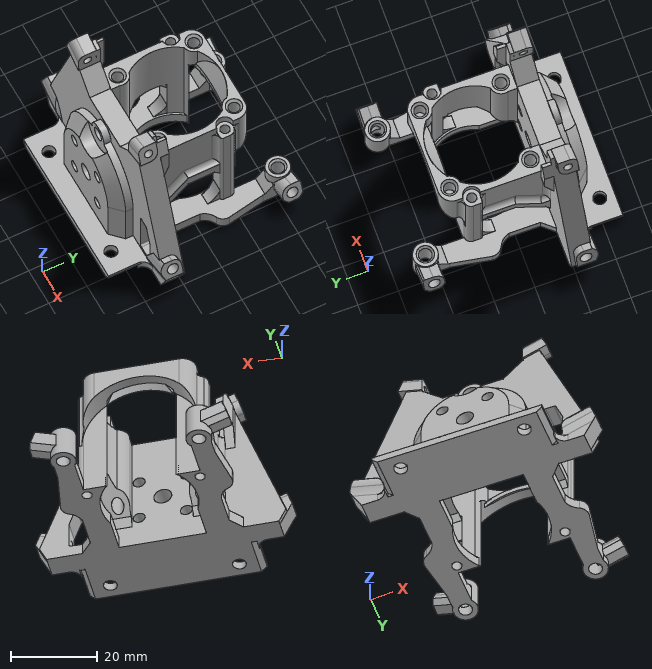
import cadquery as cq
import math

EPS = 0.1
WIDE = 36.7
HIGH = 48.95

PLATE_T = 5.45
EDGE_ANGLE = 20.0
NOTCH_Z = 32.0
NOTCH_HALF = 7.5
EAR_INNER_X = 12.5
EAR_REAR_TOP = 43.2
EAR_REAR_INNER_TOP = 42.3
SHOULDER_Z = 3.6
SHOULDER_HALF = 29.35
FOOT_HALF = 27.65

RIB_REAR = 7.7
RIB_BOTTOM = 25.7
RIB_TAPER_Z = 31.55
RIB_STEP_Z = 36.95
RIB_TOP = 41.2

FLANGE_FRONT = -10.2
FLANGE_HALF = 21.1
FLANGE_T = 2.2
FLANGE_CHAMFER = 1.35
FLANGE_HOLE_D = 3.2
FLANGE_HOLE_X = 15.35
FLANGE_HOLE_Y = -6.55
FLANGE_CORNER_R = 2.6

AXIS_Z = 14.0
PAD_R = 13.95
PAD_STEP = 1.95
PAD_FRONT = 5.0
CENTRE_HOLE_D = 4.2
SIDE_HOLE_D = 2.8
SIDE_HOLE_OFFSET = 5.6
PIN_Z = 28.15
PIN_BOSS_D = 5.95
PIN_BOSS_H = 1.85
PIN_HOLE_D = 3.4
PIN_HOLE_DEPTH = 5.5
PIN_RELIEF_R = 4.9

WINDOW_LEFT = 17.55
WINDOW_RIGHT = 22.35
WINDOW_TOP_RIGHT = 20.5
WINDOW_BOTTOM = 3.0
WINDOW_SHOULDER = 9.9
WINDOW_TOP = 15.05
WINDOW_R = 0.5
WINDOW_DEPTH = 9.2

HOUSING_TOP = 31.8
HOUSING_HALF = 13.45
HOUSING_REAR = 31.3
HOUSING_CORNER_R = 3.35
BORE_Y = 18.55
BORE_R = 11.9
RIM_BORE_R = 11.45
MOUNT_OFFSET = 10.0
MOUNT_POINTS = [
    (sx * MOUNT_OFFSET, BORE_Y + sy * MOUNT_OFFSET) for sx in (-1, 1) for sy in (-1, 1)
]
MOUNT_BOSS_R = 2.8
MOUNT_HOLE_D = 2.8
MOUNT_SINK_D = 4.05
MOUNT_DEPTH = 6.1
FRONT_GAP_HALF = 7.3
ARCH_R = 14.2
LIP_Y = 27.65
LIP_EDGE_R = 14.45
LIP_TOP_R = 17.8
LIP_DEPTH = 3.0
LIP_INNER_R = 13.0
LIP_BAND = 1.45

RIM_HALF = 14.9
RIM_BOTTOM = 15.6
RIM_TOP = 18.2
RIM_KNEE_Y = 13.95
RIM_END_Y = 6.55
RIM_END_Z = 5.6
RIM_SLAB_TOP = 29.4
PANEL_CORNER = (7.6, 11.8)
WALL_FILLET_R = 1.4

POST_X = 13.45
POST_Y = 24.3
POST_R = 2.0
POST_HOLE_D = 2.3
POST_SEAT_Z = 29.8
POST_SEAT_D = 4.2
POST_REAR_R = 1.65
POST_FRONT_R = 0.55
POST_FOOT_Y = 3.3
POST_FOOT_Z = 3.55
POST_FOOT_R = 5.5
POST_BLEND_R = 1.35

BASE_T = 3.05
BASE_HALF = 16.5
BASE_FLARE_HALF = 19.3
BASE_FLARE_Y = 8.5
CURVE_START_Y = 16.2
CURVE_HOLLOW_MID = (-17.4, 17.85)
CURVE_TURN = (-19.0, 19.1)
CURVE_BULGE_MID = (-20.2, 20.3)
CURVE_END = (-20.45, 21.8)
ARM_INNER = 13.9
ARM_END_HALF = 18.7
ARM_END_Y = 31.5
RAMP_Y = 32.0
RAMP_H = 2.2
BASE_OPEN_HALF = 10.4

BOSS_X = 16.15
BOSS_Y = 36.7
BOSS_D = 6.0
BOSS_H = 8.0
BOSS_HOLE_D = 3.2
BOSS_SINK_D = 4.2

LUG_H = 4.9
LUG_LENGTH = 12.25
FOOT_W = 3.05
LUG_HOLE_D = 2.8
EAR_HOLE_D = 2.1
LUG_HOLE_DEPTH = 7.35
LUG_HOLE_Y = 2.1
REAR_LUG_HOLE_Y = 36.95
FRONT_LUG_CORNER = (-30.6, 6.2)
EAR_CORNER = (-18.55, 39.4)
REAR_LUG_CORNER = (-23.8, 3.85)
LUG_RUNOUT_MID = (-22.95, 7.05)
LUG_RUNOUT_TOP = (-26.6, 11.6)
LUG_REAR = 4.4
LUG_FRONT = -1.0
EAR_FRONT = -0.35


def box(x0, x1, y0, y1, z0, z1):
    return cq.Workplane("XY").box(x1 - x0, y1 - y0, z1 - z0, centered=False).translate((x0, y0, z0))


def upright(radius, x, y, z0, z1):
    """Cylinder along Z."""
    return cq.Workplane("XY", origin=(x, y, z0)).circle(radius).extrude(z1 - z0)


def along_y(radius, x, z, y0, y1):
    """Cylinder along Y."""
    return cq.Workplane("XZ", origin=(x, y0, z)).circle(radius).extrude(y0 - y1)


def front_sketch(y=0.0):
    """XZ sketch plane whose extrusions run toward -Y."""
    return cq.Workplane("XZ", origin=(0, y, 0))


def side_profile(points, x0, x1):
    """Extrude a (y, z) outline from x0 to x1."""
    return cq.Workplane("YZ", origin=(x0, 0, 0)).polyline(points).close().extrude(x1 - x0)


def both(solid):
    return solid.union(solid.mirror("YZ"))


def edge_x(z):
    """X of the sloping plate edge on the -X side at height z."""
    return -SHOULDER_HALF + (z - SHOULDER_Z) * math.tan(math.radians(EDGE_ANGLE))


def plate():
    ear_z = NOTCH_Z + EAR_INNER_X - NOTCH_HALF
    half = [
        (0, 0),
        (-FOOT_HALF, 0),
        (-SHOULDER_HALF, SHOULDER_Z),
        (edge_x(EAR_REAR_TOP), EAR_REAR_TOP),
        (-EAR_INNER_X, EAR_REAR_INNER_TOP),
        (-EAR_INNER_X, ear_z),
        (-NOTCH_HALF, NOTCH_Z),
        (0, NOTCH_Z),
    ]
    body = both(front_sketch().polyline(half).close().extrude(-PLATE_T))
    ear_slot = box(-SHOULDER_HALF, -EAR_INNER_X, -EPS, LUG_REAR, EAR_CORNER[1], HIGH)
    return body.cut(both(ear_slot))


def ear_rib():
    """Stiffening rib on the back of the plate behind each ear, flush with the sloping edge."""
    front = PLATE_T - EPS
    side = side_profile(
        [
            (front, RIB_BOTTOM),
            (PLATE_T, RIB_BOTTOM),
            (RIB_REAR, RIB_TAPER_Z),
            (RIB_REAR, RIB_TOP),
            (front, RIB_TOP),
        ],
        edge_x(RIB_STEP_Z), -RIM_HALF)
    face = (
        front_sketch()
        .polyline([
            (edge_x(RIB_STEP_Z), RIB_BOTTOM),
            (edge_x(RIB_STEP_Z), RIB_STEP_Z),
            (edge_x(RIB_TOP), RIB_TOP),
            (-RIM_HALF, RIB_TOP),
            (-RIM_HALF, RIB_BOTTOM),
        ])
        .close()
        .extrude(-RIB_REAR)
    )
    return side.intersect(face)


def flange():
    slab = box(-FLANGE_HALF, FLANGE_HALF, FLANGE_FRONT, PLATE_T, 0, FLANGE_T)
    return slab.faces("<X or >X").edges("<Z").chamfer(FLANGE_CHAMFER)


def flange_corner():
    """Concave corner between the flange end and the plate."""
    r = FLANGE_CORNER_R
    block = box(-FLANGE_HALF - r, -FLANGE_HALF, -r, 0, 0, FLANGE_T)
    return block.cut(upright(r, -FLANGE_HALF - r, -r, 0, FLANGE_T))


def pad():
    body = (
        front_sketch()
        .moveTo(-PAD_R, 0)
        .lineTo(-PAD_R, AXIS_Z)
        .threePointArc((0, AXIS_Z + PAD_R), (PAD_R, AXIS_Z))
        .lineTo(PAD_R, 0)
        .close()
        .extrude(PAD_FRONT)
    )
    body = body.faces("<Y").edges("not <Z").chamfer(PAD_FRONT - PAD_STEP)
    relief = along_y(PIN_RELIEF_R, 0, PIN_Z, -PIN_BOSS_H, -PAD_FRONT - EPS)
    return body.cut(relief).union(along_y(PIN_BOSS_D / 2, 0, PIN_Z, 0, -PIN_BOSS_H))


def window():
    outline = [
        (WINDOW_LEFT, WINDOW_BOTTOM),
        (WINDOW_RIGHT, WINDOW_BOTTOM),
        (WINDOW_RIGHT, WINDOW_SHOULDER),
        (WINDOW_TOP_RIGHT, WINDOW_TOP),
        (WINDOW_LEFT, WINDOW_TOP),
    ]
    cut = front_sketch(LUG_FRONT - EPS).polyline(outline).close().extrude(-WINDOW_DEPTH)
    return cut.edges("|Y").fillet(WINDOW_R)


def lug_plane(corner):
    """End face plane of an inclined lug: local x runs toward -Y, local y up the face."""
    a = math.radians(EDGE_ANGLE)
    x, z = corner
    return cq.Workplane(cq.Plane(
        origin=(x + LUG_H / 2 * math.sin(a), 0, z + LUG_H / 2 * math.cos(a)),
        xDir=(0, -1, 0),
        normal=(-math.cos(a), 0, math.sin(a)),
    ))


def lug_hole(diameter, corner, y):
    return lug_plane(corner).center(-y, 0).circle(diameter / 2).extrude(-LUG_HOLE_DEPTH)


def front_lug():
    """Lug with a round nose that flows through a hollow into the foot of the plate."""
    top, top_r = LUG_H / 2, 2.1
    foot_top = FRONT_LUG_CORNER[1]
    foot_inner = -FOOT_HALF + FOOT_W
    nose_r = LUG_HOLE_Y - LUG_FRONT
    hollow_top, hollow_bottom = -1.2, -3.7
    nose_top_x = math.sqrt(nose_r**2 - top**2) - LUG_HOLE_Y
    nose_low_x = math.sqrt(nose_r**2 - hollow_top**2) - LUG_HOLE_Y
    nose = (
        lug_plane(FRONT_LUG_CORNER)
        .moveTo(-LUG_REAR, hollow_bottom)
        .lineTo(-LUG_REAR, top - top_r)
        .radiusArc((-LUG_REAR + top_r, top), top_r)
        .lineTo(nose_top_x, top)
        .threePointArc((-LUG_FRONT, 0), (nose_low_x, hollow_top))
        .threePointArc((0.2, (hollow_top + hollow_bottom) / 2), (0, hollow_bottom))
        .close()
        .extrude(-LUG_LENGTH)
    )
    limit = (
        front_sketch(LUG_REAR)
        .moveTo(*FRONT_LUG_CORNER)
        .lineTo(-FOOT_HALF, 0)
        .lineTo(-FLANGE_HALF, 0)
        .lineTo(-FLANGE_HALF, FLANGE_T)
        .threePointArc(LUG_RUNOUT_MID, LUG_RUNOUT_TOP)
        .lineTo(FRONT_LUG_CORNER[0], LUG_RUNOUT_TOP[1])
        .close()
        .extrude(LUG_LENGTH)
    )
    foot = (
        front_sketch()
        .polyline([FRONT_LUG_CORNER, (-FOOT_HALF, 0), (foot_inner, 0), (foot_inner, foot_top)])
        .close()
        .extrude(-LUG_REAR)
    )
    return nose.intersect(limit).union(foot)


def ear():
    h, rear_r, front_r = LUG_H / 2, 2.3, 1.7
    body = (
        lug_plane(EAR_CORNER)
        .moveTo(-LUG_REAR + rear_r, -h)
        .radiusArc((-LUG_REAR, -h + rear_r), rear_r)
        .lineTo(-LUG_REAR, h)
        .lineTo(-EAR_FRONT - front_r, h)
        .radiusArc((-EAR_FRONT, h - front_r), front_r)
        .lineTo(-EAR_FRONT, -h)
        .close()
        .extrude(-LUG_LENGTH)
    )
    return body.intersect(box(-WIDE, -EAR_INNER_X, -LUG_LENGTH, LUG_LENGTH, NOTCH_Z, HIGH))


def rear_lug():
    h, front, rear, chamfer, top_r = LUG_H / 2, 34.4, 39.5, 0.4, 2.6
    low_chamfer = 1.2
    return (
        lug_plane(REAR_LUG_CORNER)
        .moveTo(-rear + low_chamfer, -h)
        .lineTo(-rear, -h + low_chamfer)
        .lineTo(-rear, h - chamfer)
        .lineTo(-rear + chamfer, h)
        .lineTo(-front - top_r, h)
        .radiusArc((-front, h - top_r), top_r)
        .lineTo(-front, -h + low_chamfer)
        .lineTo(-front - low_chamfer, -h)
        .close()
        .extrude(-LUG_HOLE_DEPTH)
    )


def housing_side(rear):
    """(y, z) points along the lower edge of a housing wall, from the rear to the plate."""
    end_z = RIM_BOTTOM - (RIM_KNEE_Y - RIM_END_Y)
    return [(rear, RIM_BOTTOM), (RIM_KNEE_Y, RIM_BOTTOM), (RIM_END_Y, end_z), (PLATE_T - EPS, RIM_END_Z)]


def housing():
    post_front = POST_Y - POST_R
    post_rear = POST_Y + POST_R
    block = box(-HOUSING_HALF, HOUSING_HALF, 0, HOUSING_REAR, 0, HOUSING_TOP)
    block = block.edges("|Z and >Y").fillet(HOUSING_CORNER_R)
    outline = housing_side(post_front) + [
        (PLATE_T - EPS, HOUSING_TOP), (HOUSING_REAR, HOUSING_TOP), (HOUSING_REAR, 0), (post_front, 0)]
    block = block.intersect(side_profile(outline, -HOUSING_HALF, HOUSING_HALF))
    arch = along_y(ARCH_R, 0, AXIS_Z, post_rear, HOUSING_REAR + EPS)
    below = box(-HOUSING_HALF, HOUSING_HALF, post_rear, HOUSING_REAR, 0, AXIS_Z)
    return block.cut(arch).cut(below)


def rim():
    """Thick wall edge left around a recessed side panel with rounded corners."""
    slab = side_profile(
        housing_side(POST_Y) + [(PLATE_T - EPS, RIM_SLAB_TOP), (POST_Y, RIM_SLAB_TOP)],
        -RIM_HALF, -HOUSING_HALF + EPS)
    post_front = POST_Y - POST_R
    panel = side_profile(
        [(post_front, RIM_TOP), (RIM_KNEE_Y, RIM_TOP), PANEL_CORNER, (PLATE_T, PANEL_CORNER[1]),
         (PLATE_T, HIGH), (post_front, HIGH)],
        -WIDE, -HOUSING_HALF)
    panel = panel.faces(">X").edges().fillet(WALL_FILLET_R)
    return slab.cut(panel)


def bore():
    """Housing bore, open toward the plate and ending in a sloping lip at the rear."""
    top = HOUSING_TOP + EPS
    lip = (
        cq.Workplane("XY")
        .lineTo(LIP_EDGE_R, 0)
        .lineTo(LIP_TOP_R, LIP_DEPTH)
        .lineTo(0, LIP_DEPTH)
        .close()
        .revolve(360, (0, 0, 0), (0, 1, 0))
        .translate((0, LIP_Y, AXIS_Z))
    )
    cavity = upright(BORE_R, 0, BORE_Y, BASE_T, top).cut(lip)
    cavity = cavity.union(upright(RIM_BORE_R, 0, BORE_Y, -EPS, BASE_T + EPS))
    cavity = cavity.union(box(-FRONT_GAP_HALF, FRONT_GAP_HALF, PLATE_T, BORE_Y, BASE_T, top))
    for x, y in MOUNT_POINTS:
        cavity = cavity.cut(upright(MOUNT_BOSS_R, x, y, 0, top))
    return cavity


def lip_band():
    """Arched band that thickens the lower edge of the rear lip."""
    ring = (
        cq.Workplane("XY")
        .polyline([(LIP_INNER_R, 0), (LIP_EDGE_R, 0), (LIP_EDGE_R, LIP_BAND)])
        .close()
        .revolve(360, (0, 0, 0), (0, 1, 0))
        .translate((0, LIP_Y, AXIS_Z))
    )
    span = upright(BORE_R + EPS, 0, BORE_Y, AXIS_Z, HOUSING_TOP)
    return ring.intersect(span)


def post():
    body = box(-POST_X - POST_R, -POST_X + POST_R, POST_Y - POST_R, POST_Y + POST_R, 0, POST_SEAT_Z)
    body = body.edges("|Z and <X and >Y").fillet(POST_REAR_R)
    body = body.edges("|Z and <X and <Y").fillet(POST_FRONT_R)
    front = POST_Y - POST_R
    rear = POST_Y + POST_R
    inner = -POST_X + POST_R
    foot = (
        cq.Workplane("YZ", origin=(-RIM_HALF, 0, 0))
        .moveTo(front, BASE_T)
        .lineTo(front, BASE_T + POST_FOOT_Z)
        .radiusArc((front - POST_FOOT_Y, BASE_T), POST_FOOT_R)
        .close()
        .extrude(inner + RIM_HALF)
    )
    r = POST_BLEND_R
    blend = box(-HOUSING_HALF - r, -HOUSING_HALF, rear, rear + r, AXIS_Z, POST_SEAT_Z)
    blend = blend.cut(upright(r, -HOUSING_HALF - r, rear + r, AXIS_Z, POST_SEAT_Z))
    blend = blend.cut(along_y(ARCH_R, 0, AXIS_Z, rear, rear + r))
    gusset = side_profile(
        [(front, RIM_BOTTOM), (front - WALL_FILLET_R, RIM_BOTTOM), (front, RIM_BOTTOM - WALL_FILLET_R)],
        -RIM_HALF, inner)
    return body.union(foot).union(gusset).union(blend)


def base_strip():
    """Floor strip beside the housing, running back into the arm and its ramp."""
    front = PLATE_T - EPS
    back = POST_Y + POST_R
    strip = (
        cq.Workplane("XY")
        .moveTo(-FRONT_GAP_HALF, front)
        .lineTo(-BASE_FLARE_HALF, front)
        .lineTo(-BASE_HALF, BASE_FLARE_Y)
        .lineTo(-BASE_HALF, CURVE_START_Y)
        .threePointArc(CURVE_HOLLOW_MID, CURVE_TURN)
        .threePointArc(CURVE_BULGE_MID, CURVE_END)
        .lineTo(-ARM_END_HALF, ARM_END_Y)
        .lineTo(-ARM_END_HALF, BOSS_Y)
        .lineTo(-ARM_INNER, BOSS_Y)
        .lineTo(-ARM_INNER, back)
        .lineTo(-FRONT_GAP_HALF, back)
        .close()
        .extrude(BASE_T)
    )
    opening = upright(RIM_BORE_R, 0, BORE_Y, 0, BASE_T).union(
        box(-BASE_OPEN_HALF, BASE_OPEN_HALF, front, BORE_Y, 0, BASE_T))
    ramp_top = BASE_T + RAMP_H
    ramp = side_profile(
        [(RAMP_Y, BASE_T), (RAMP_Y + RAMP_H, ramp_top), (BOSS_Y, ramp_top), (BOSS_Y, BASE_T)],
        -ARM_END_HALF, -ARM_INNER)
    return strip.cut(opening).union(ramp)


def boss():
    return upright(BOSS_D / 2, -BOSS_X, BOSS_Y, 0, BOSS_H)


def countersunk(hole_d, sink_d, x, y, z_bottom, z_top):
    """Vertical hole with a 45 degree countersink at its top."""
    depth = (sink_d - hole_d) / 2
    cone = (
        cq.Workplane("XY", origin=(x, y, z_top))
        .circle(sink_d / 2)
        .workplane(offset=-depth)
        .circle(hole_d / 2)
        .loft()
    )
    return upright(hole_d / 2, x, y, z_bottom, z_top).union(cone)


def pad_holes():
    back = PLATE_T + EPS
    front = -PAD_FRONT - EPS
    cuts = along_y(CENTRE_HOLE_D / 2, 0, AXIS_Z, back, front)
    for sx in (-1, 1):
        for sz in (-1, 1):
            x, z = sx * SIDE_HOLE_OFFSET, AXIS_Z + sz * SIDE_HOLE_OFFSET
            cuts = cuts.union(along_y(SIDE_HOLE_D / 2, x, z, back, front))
    return cuts.union(along_y(PIN_HOLE_D / 2, 0, PIN_Z, PIN_HOLE_DEPTH - PIN_BOSS_H, -PIN_BOSS_H))


def mount_holes():
    """Blind holes in the rear corners; front ones pass through the housing, above the floor."""
    cuts = []
    for x, y in MOUNT_POINTS:
        bottom = HOUSING_TOP - MOUNT_DEPTH if y > BORE_Y else BASE_T
        cuts.append(countersunk(MOUNT_HOLE_D, MOUNT_SINK_D, x, y, bottom, HOUSING_TOP))
    return cuts


def left_holes():
    return [
        upright(FLANGE_HOLE_D / 2, -FLANGE_HOLE_X, FLANGE_HOLE_Y, 0, FLANGE_T),
        upright(POST_HOLE_D / 2, -POST_X, POST_Y, 0, HOUSING_TOP),
        upright(POST_SEAT_D / 2, -POST_X, POST_Y, POST_SEAT_Z, HOUSING_TOP),
        countersunk(BOSS_HOLE_D, BOSS_SINK_D, -BOSS_X, BOSS_Y, 0, BOSS_H),
        lug_hole(LUG_HOLE_D, FRONT_LUG_CORNER, LUG_HOLE_Y),
        lug_hole(EAR_HOLE_D, EAR_CORNER, LUG_HOLE_Y),
        lug_hole(LUG_HOLE_D, REAR_LUG_CORNER, REAR_LUG_HOLE_Y),
    ]


result = plate().union(flange()).union(pad()).union(housing())
left_parts = [
    ear_rib(), flange_corner(), front_lug(), ear(), rim(), post(), base_strip(), boss(), rear_lug(),
]
for part in left_parts:
    result = result.union(both(part))
result = result.cut(bore()).union(lip_band()).cut(window()).cut(pad_holes())
for hole in mount_holes():
    result = result.cut(hole)
for hole in left_holes():
    result = result.cut(both(hole))